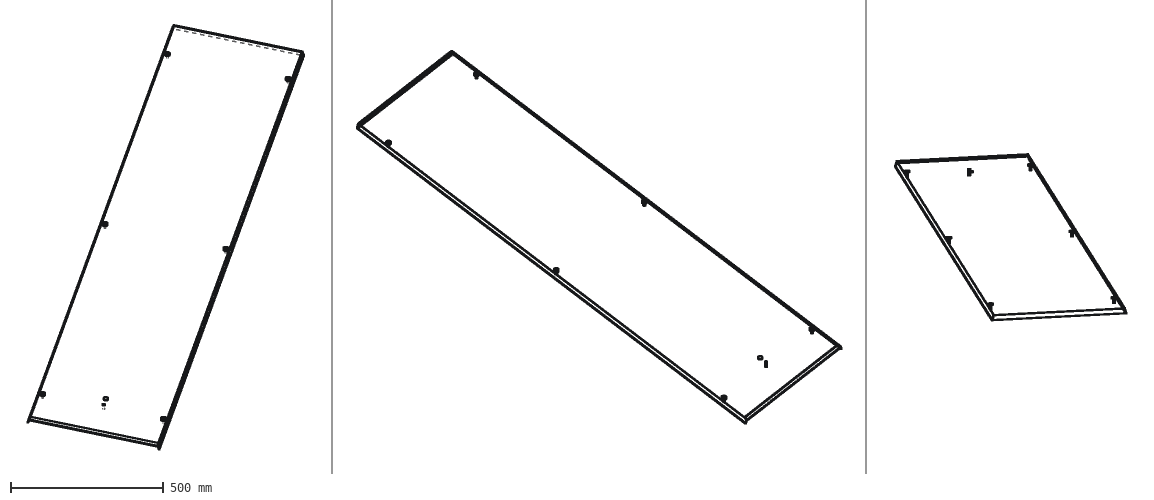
import cadquery as cq

LENGTH = 1796.0
WIDTH = 449.0
TRAY_DEPTH = 18.0
SHEET = 2.0
SIDE_INSET = 5.7

OUTER_HEIGHT = 23.0
PIN_TIP = OUTER_HEIGHT / 2
POST_END = -OUTER_HEIGHT / 2
PIN_RISE = 1.5
TOP = PIN_TIP - PIN_RISE
UNDERSIDE = TOP - SHEET
FOOT = TOP - TRAY_DEPTH

LIP_LENGTH = 15.0

PIN_X = 205.6
PIN_ROW_CENTRE = -4.0
PIN_ROW_PITCH = 774.0
SHANK_RADIUS = 4.0
COLLAR_RADIUS = 8.0

POST_RADIUS = 4.0
POST_Y = -769.0
PAD_RADIUS = 7.0
PAD_THICKNESS = 1.0
PAD_Y = -742.0

FRONT = -LENGTH / 2
BACK = LENGTH / 2
TOP_HALF_WIDTH = WIDTH / 2 - SIDE_INSET
FOOT_HALF_WIDTH = WIDTH / 2

PIN_PLACES = [
    (side * PIN_X, PIN_ROW_CENTRE + row * PIN_ROW_PITCH)
    for row in (-1, 0, 1)
    for side in (-1, 1)
]


def disc(x, y, bottom, top, radius):
    """Upright cylinder between two heights."""
    return cq.Workplane("XY", origin=(x, y, bottom)).circle(radius).extrude(top - bottom)


def trapezoid_bar(foot_half, top_half, bottom, top, front, back):
    """Bar along Y with a trapezoid cross-section."""
    outline = [(-foot_half, bottom), (foot_half, bottom), (top_half, top), (-top_half, top)]
    return cq.Workplane("XZ", origin=(0, front, 0)).polyline(outline).close().extrude(front - back)


def block(half_width, front, back, bottom, top):
    """Rectangular block centred on X = 0."""
    size = (2 * half_width, back - front, top - bottom)
    return cq.Workplane("XY").box(*size, centered=(True, False, False)).translate((0, front, bottom))


def make_panel():
    """Sheet tray open at the front and below, with its lip, post, pad and pin holes."""
    side_front = FRONT + SHEET
    shell = trapezoid_bar(FOOT_HALF_WIDTH, TOP_HALF_WIDTH, FOOT, TOP, side_front, BACK)
    lean = SIDE_INSET / TRAY_DEPTH
    inner_foot = FOOT_HALF_WIDTH - SHEET
    inner_top = inner_foot - lean * (TRAY_DEPTH - SHEET)
    cavity = trapezoid_bar(inner_foot, inner_top, FOOT, UNDERSIDE, side_front, BACK - SHEET)
    panel = shell.cut(cavity)

    lip_bottom = UNDERSIDE - SHEET
    lip_bend = block(TOP_HALF_WIDTH, FRONT, side_front, lip_bottom, TOP)
    lip = block(inner_top, FRONT, FRONT + LIP_LENGTH, lip_bottom, UNDERSIDE)
    panel = panel.union(lip_bend).union(lip)

    panel = panel.union(disc(0, POST_Y, POST_END, UNDERSIDE, POST_RADIUS))
    panel = panel.union(disc(0, PAD_Y, UNDERSIDE - PAD_THICKNESS, UNDERSIDE, PAD_RADIUS))
    for x, y in PIN_PLACES:
        panel = panel.cut(disc(x, y, UNDERSIDE, TOP, COLLAR_RADIUS))
    return panel


def make_pin(x, y):
    """Shank from the foot level to just above the sheet, with a collar filling the hole."""
    shank = disc(x, y, FOOT, PIN_TIP, SHANK_RADIUS)
    collar = disc(x, y, UNDERSIDE, TOP, COLLAR_RADIUS)
    return shank.union(collar)


panel = make_panel()
pins = [make_pin(x, y) for x, y in PIN_PLACES]

result = cq.Compound.makeCompound([panel.val(), *[pin.val() for pin in pins]])